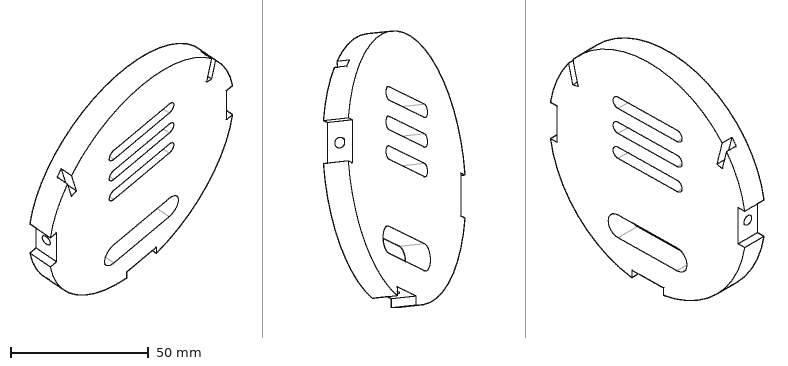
import cadquery as cq
import math

disk_radius = 50.0
thickness = 10.0

notch_width = 16.0
notch_floor_radius = 46.0
hole_diameter = 4.0
hole_depth = 9.9
notch_turns = (0, 90, 180)

vent_length = 35.0
vent_height = 5.0
vent_top_z = 24.5
vent_pitch = 11.0
vent_count = 3
window_length = 39.9
window_height = 10.0
window_z = -30.0

pocket_width = 2.8
pocket_depth = 9.9
pocket_thickness = thickness / 2
pocket_tilt = 14.0
pocket_rim_angle = 38.7


def through_slot(length, height, z):
    """Round-ended slot along Y, running through the full thickness."""
    return cq.Workplane("YZ").center(0, z).slot2D(length, height).extrude(thickness)


def rim_notch(turn):
    """Notch on the -Y side with its screw hole, turned about the disk axis."""
    notch_depth = disk_radius - notch_floor_radius
    notch = cq.Workplane("XY").box(
        thickness, notch_depth, notch_width, centered=(False, False, True)
    ).translate((0, -disk_radius, 0))
    hole = (
        cq.Workplane("XZ", origin=(thickness / 2, -notch_floor_radius, 0))
        .circle(hole_diameter / 2)
        .extrude(-hole_depth)
    )
    return notch.union(hole).rotate((0, 0, 0), (1, 0, 0), turn)


def rim_pocket():
    """Parallel-sided pocket on the -Y side, long enough upward to clear the rim."""
    angle = math.radians(pocket_rim_angle)
    mouth_y = -disk_radius * math.cos(angle)
    mouth_z = disk_radius * math.sin(angle)
    return (
        cq.Workplane("XY")
        .box(pocket_thickness, pocket_width, 2 * pocket_depth, centered=(False, True, True))
        .rotate((0, 0, 0), (1, 0, 0), pocket_tilt)
        .translate((thickness - pocket_thickness, mouth_y, mouth_z))
    )


result = cq.Workplane("YZ").circle(disk_radius).extrude(thickness)

for turn in notch_turns:
    result = result.cut(rim_notch(turn))

for index in range(vent_count):
    result = result.cut(through_slot(vent_length, vent_height, vent_top_z - index * vent_pitch))

result = result.cut(through_slot(window_length, window_height, window_z))

pocket = rim_pocket()
result = result.cut(pocket).cut(pocket.mirror("XZ"))